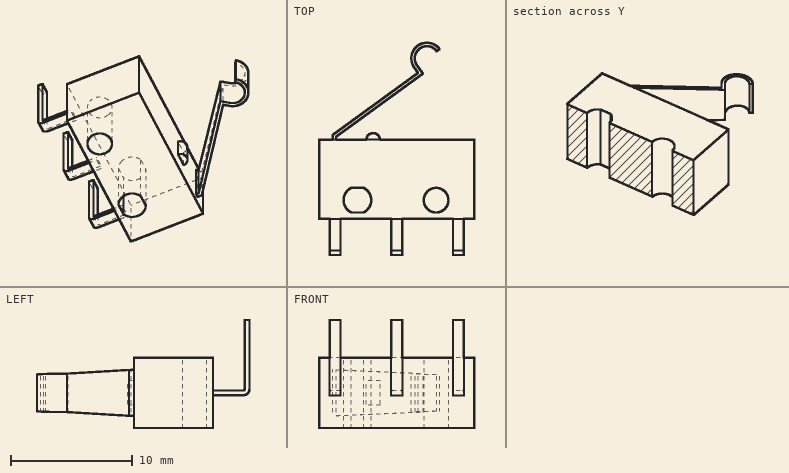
import cadquery as cq
import math


HOUSING_LENGTH = 12.8
HOUSING_DEPTH = 6.53
HOUSING_HEIGHT = 5.8

HOLE_OFFSET_X = 3.24
HOLE_OFFSET_Y = 1.54
HOLE_DIAMETER = 2.01
WIDE_HOLE_DIAMETER = 2.25

PLUNGER_X = -1.95
PLUNGER_RADIUS = 0.58
PLUNGER_LENGTH = 2.0
PLUNGER_PROJECTION = 0.55

TERMINAL_COUNT = 3
TERMINAL_PITCH = 5.08
TERMINAL_WIDTH = 0.91
TERMINAL_THICKNESS = 0.4
TERMINAL_REACH = 3.0
OVERALL_HEIGHT = 8.9
TERMINAL_TOP = OVERALL_HEIGHT - HOUSING_HEIGHT / 2
BEND_INNER_RADIUS = 0.1

LEVER_THICKNESS = 0.3
LEVER_FOOT_X = -5.28
LEVER_FOOT_HEIGHT = 0.38
LEVER_ANGLE = 36.0
HOOK_CENTER_X = 2.48
HOOK_OUTER_RADIUS = 1.3
OVERALL_DEPTH = 17.5
LEVER_TIP_Y = OVERALL_DEPTH - TERMINAL_REACH
LEVER_ROOT_WIDTH = 3.8
LEVER_HOOK_WIDTH = 3.18


def make_mounting_holes():
    """Cutters for the round hole and the wider hole with two flats."""
    round_hole = (
        cq.Workplane("XY")
        .center(HOLE_OFFSET_X, HOLE_OFFSET_Y)
        .circle(HOLE_DIAMETER / 2)
        .extrude(HOUSING_HEIGHT / 2, both=True)
    )
    flats = (
        cq.Workplane("XY")
        .center(-HOLE_OFFSET_X, HOLE_OFFSET_Y)
        .rect(WIDE_HOLE_DIAMETER, HOLE_DIAMETER)
        .extrude(HOUSING_HEIGHT / 2, both=True)
    )
    wide_hole = (
        cq.Workplane("XY")
        .center(-HOLE_OFFSET_X, HOLE_OFFSET_Y)
        .circle(WIDE_HOLE_DIAMETER / 2)
        .extrude(HOUSING_HEIGHT / 2, both=True)
        .intersect(flats)
    )
    return round_hole.union(wide_hole)


def make_plunger():
    """Round bar partly sunk in the lever-side face."""
    return (
        cq.Workplane("XY")
        .center(PLUNGER_X, HOUSING_DEPTH + PLUNGER_PROJECTION - PLUNGER_RADIUS)
        .circle(PLUNGER_RADIUS)
        .extrude(PLUNGER_LENGTH / 2, both=True)
    )


def make_terminal(x):
    """L-shaped strip that leaves the housing along -Y and turns up to +Z."""
    half = TERMINAL_THICKNESS / 2
    inner_y = TERMINAL_THICKNESS - TERMINAL_REACH
    profile = (
        cq.Workplane("YZ")
        .polyline([
            (0, -half),
            (-TERMINAL_REACH, -half),
            (-TERMINAL_REACH, TERMINAL_TOP),
            (inner_y, TERMINAL_TOP),
            (inner_y, half),
            (0, half),
        ])
        .close()
    )
    strip = profile.extrude(TERMINAL_WIDTH / 2, both=True)
    inner_edge = cq.selectors.NearestToPointSelector((0, inner_y, half))
    outer_edge = cq.selectors.NearestToPointSelector((0, -TERMINAL_REACH, -half))
    strip = strip.edges(inner_edge).fillet(BEND_INNER_RADIUS)
    strip = strip.edges(outer_edge).fillet(BEND_INNER_RADIUS + TERMINAL_THICKNESS)
    return strip.translate((x, 0, 0))


def make_switch():
    """Housing with its plunger and terminals, one solid."""
    switch = (
        cq.Workplane("XY")
        .box(HOUSING_LENGTH, HOUSING_DEPTH, HOUSING_HEIGHT)
        .translate((0, HOUSING_DEPTH / 2, 0))
        .cut(make_mounting_holes())
        .union(make_plunger())
    )
    for index in range(TERMINAL_COUNT):
        x = (index - (TERMINAL_COUNT - 1) / 2) * TERMINAL_PITCH
        switch = switch.union(make_terminal(x))
    return switch


def make_lever():
    """Bent strip: short foot, sloping arm, square elbow and half-round hook."""
    angle = math.radians(LEVER_ANGLE)
    along = cq.Vector(math.cos(angle), math.sin(angle))
    across = cq.Vector(-math.sin(angle), math.cos(angle))
    hook_inner_radius = HOOK_OUTER_RADIUS - LEVER_THICKNESS
    hook_center = cq.Vector(HOOK_CENTER_X, LEVER_TIP_Y - HOOK_OUTER_RADIUS)

    upper_foot = cq.Vector(LEVER_FOOT_X, HOUSING_DEPTH + LEVER_FOOT_HEIGHT)
    foot_drop = LEVER_THICKNESS * math.tan((math.pi / 2 - angle) / 2)
    lower_foot = upper_foot + cq.Vector(LEVER_THICKNESS, -foot_drop)

    upper_length = (hook_center - upper_foot).dot(along) - HOOK_OUTER_RADIUS
    lower_length = (hook_center - lower_foot).dot(along) - hook_inner_radius
    upper_elbow = upper_foot + along * upper_length
    lower_elbow = lower_foot + along * lower_length

    profile = (
        cq.Workplane("XY")
        .moveTo(LEVER_FOOT_X, HOUSING_DEPTH)
        .lineTo(upper_foot.x, upper_foot.y)
        .lineTo(upper_elbow.x, upper_elbow.y)
        .lineTo(*(hook_center - along * HOOK_OUTER_RADIUS).toTuple()[:2])
        .threePointArc(
            (hook_center + across * HOOK_OUTER_RADIUS).toTuple()[:2],
            (hook_center + along * HOOK_OUTER_RADIUS).toTuple()[:2],
        )
        .lineTo(*(hook_center + along * hook_inner_radius).toTuple()[:2])
        .threePointArc(
            (hook_center + across * hook_inner_radius).toTuple()[:2],
            (hook_center - along * hook_inner_radius).toTuple()[:2],
        )
        .lineTo(lower_elbow.x, lower_elbow.y)
        .lineTo(lower_foot.x, lower_foot.y)
        .lineTo(LEVER_FOOT_X + LEVER_THICKNESS, HOUSING_DEPTH)
        .close()
    )
    strip = profile.extrude(HOUSING_HEIGHT / 2, both=True)

    taper_slope = (LEVER_ROOT_WIDTH - LEVER_HOOK_WIDTH) / 2 / upper_length
    start = -LEVER_FOOT_HEIGHT
    end = OVERALL_DEPTH
    start_half_width = LEVER_ROOT_WIDTH / 2 - taper_slope * start
    end_half_width = LEVER_ROOT_WIDTH / 2 - taper_slope * end
    arm_plane = cq.Plane(origin=upper_foot, xDir=along, normal=across * -1)
    width_outline = (
        cq.Workplane(arm_plane)
        .polyline([
            (start, -start_half_width),
            (end, -end_half_width),
            (end, end_half_width),
            (start, start_half_width),
        ])
        .close()
        .extrude(OVERALL_DEPTH / 2, both=True)
    )
    return strip.intersect(width_outline)


switch = make_switch()
lever = make_lever()
result = cq.Compound.makeCompound([switch.val(), lever.val()])